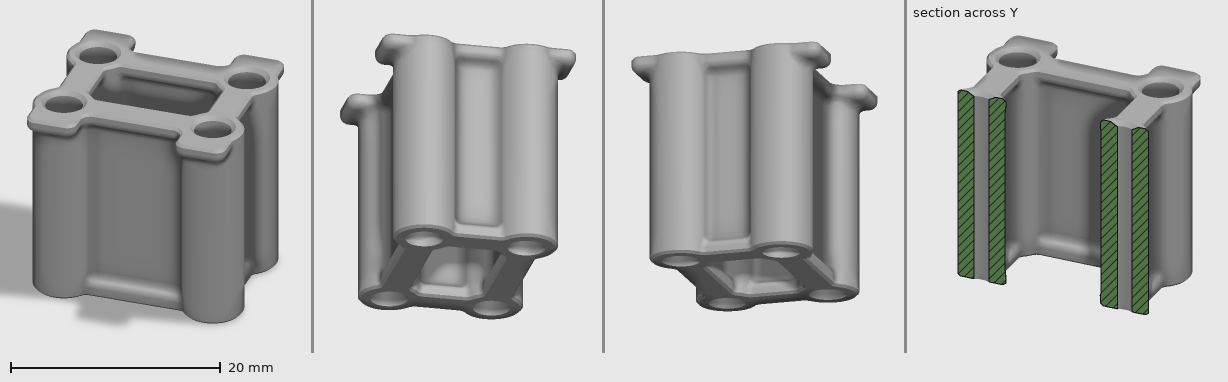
import cadquery as cq

height = 20.0
post_spacing_x = 15.0
post_spacing_y = 10.0
post_radius = 3.0
bore_diameter = 3.6
bore_chamfer = 0.4

wall_thickness = 1.2
wall_corner_radius = 1.0

rim_width = 3.0
rim_corner_radius = 0.75
rim_thickness = 1.5
long_bottom_rim_thickness = 1.7
rim_edge_chamfer = 0.25
lip_radius = 0.75
blend_radius = 0.75

tab_width = 5.0
tab_span_y = 18.9
tab_corner_radius = 1.0

post_x = post_spacing_x / 2
post_y = post_spacing_y / 2
rim_outer_y = post_y + rim_width / 2
rim_inner_x = post_x - rim_width / 2
tab_length = tab_span_y / 2 - post_y
tolerance = 0.01

post_centres = [(side_x * post_x, side_y * post_y) for side_x in (-1, 1) for side_y in (-1, 1)]


def block(size_x, size_y, size_z):
    """Block centred on the Z axis and standing on Z = 0."""
    return cq.Workplane("XY").box(size_x, size_y, size_z, centered=(True, True, False))


def framed_posts(member_width, depth):
    """Four round posts joined by a rectangular frame centred on the post axes."""
    outside = block(post_spacing_x + member_width, post_spacing_y + member_width, depth)
    opening = block(post_spacing_x - member_width, post_spacing_y - member_width, depth)
    posts = cq.Workplane("XY").pushPoints(post_centres).circle(post_radius).extrude(depth)
    return outside.cut(opening).union(posts)


def finish_rim(rim):
    """Round the upper edges of a rim and chamfer its edges at Z = 0."""
    rounded = rim.faces(">Z").edges().fillet(lip_radius)
    return rounded.faces("<Z").edges().chamfer(rim_edge_chamfer)


def make_bottom_rim(thickness):
    """Plain frame around the bottom end."""
    return finish_rim(framed_posts(rim_width, thickness).edges("|Z").fillet(rim_corner_radius))


def make_top_rim():
    """Frame with four tabs, shaped underside up and then turned over."""
    rim = framed_posts(rim_width, rim_thickness)
    tab = block(tab_width, tab_length, rim_thickness)
    for x, y in post_centres:
        outward = 1 if y > 0 else -1
        rim = rim.union(tab.translate((x, y + outward * tab_length / 2, 0)))

    gap = block(post_spacing_x - tab_width, tab_length, rim_thickness)
    for outward in (-1, 1):
        rim = rim.cut(gap.translate((0, outward * (rim_outer_y + tab_length / 2), 0)))

    frame_corners = rim.edges("|Z").filter(lambda edge: abs(edge.Center().y) < post_y)
    rim = frame_corners.fillet(rim_corner_radius)
    tab_corners = rim.edges("|Z").filter(lambda edge: abs(edge.Center().y) > rim_outer_y - tolerance)
    rim = tab_corners.fillet(tab_corner_radius)
    return finish_rim(rim).rotate((0, 0, 0), (1, 0, 0), 180).translate((0, 0, height))


def make_core():
    """Posts and thin walls, starting and ending inside the two rims."""
    core = framed_posts(wall_thickness, height - 2 * lip_radius)
    return core.edges("|Z").fillet(wall_corner_radius).translate((0, 0, lip_radius))


def blend_rims(body):
    """Fillet the seams where the rims and tabs overhang the walls and posts."""
    seams = []
    for face in body.faces().vals():
        if face.BoundingBox().zlen < height / 2:
            continue
        for edge in face.Edges():
            box = edge.BoundingBox()
            is_upright = box.zlen > height / 2
            middle_z = (box.zmin + box.zmax) / 2
            is_past_lip_start = min(middle_z, height - middle_z) > lip_radius + tolerance
            if is_past_lip_start and not is_upright:
                seams.append(edge)
    return body.newObject(seams).fillet(blend_radius)


def thicken_long_bottom_members(body):
    """Swap in thicker bottom members along X; the step is hidden inside the posts."""
    step_inset = 0.5
    zone = block(2 * (rim_inner_x - step_inset), tab_span_y, height / 2)
    thick_members = blend_rims(make_core().union(make_bottom_rim(long_bottom_rim_thickness)))
    return body.cut(zone).union(thick_members.intersect(zone))


def cut_bores(body):
    """Bore each post through and countersink the bore at the top."""
    bore_radius = bore_diameter / 2
    mouth_radius = bore_radius + bore_chamfer
    half_section = [
        (0, 0),
        (bore_radius, 0),
        (bore_radius, height - bore_chamfer),
        (mouth_radius, height),
        (0, height),
    ]
    tool = cq.Workplane("XZ").polyline(half_section).close().revolve(360, (0, 0), (0, 1))
    tools = cq.Workplane("XY").pushPoints(post_centres).eachpoint(tool.val())
    return body.cut(tools)


plain_body = blend_rims(make_core().union(make_top_rim()).union(make_bottom_rim(rim_thickness)))
result = cut_bores(thicken_long_bottom_members(plain_body))